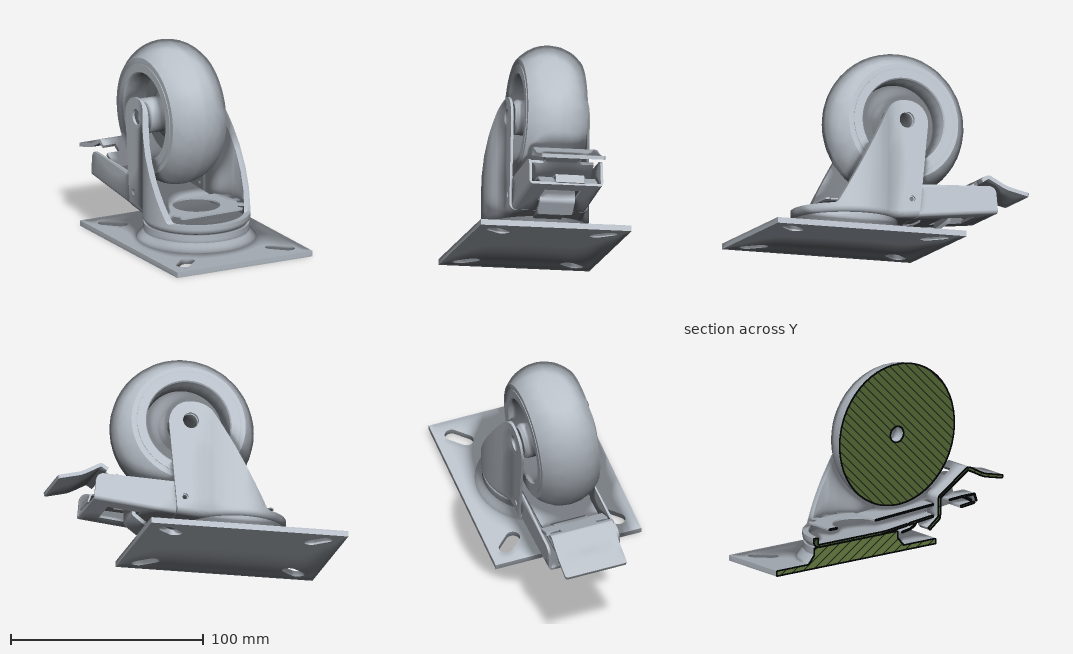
import cadquery as cq
import math


overall_length = 149.2
sheet = 1.3

plate_length = 105.0
plate_width = 80.0
plate_thickness = 3.0
slot_width = 7.5
slot_length = 15.8
slot_x = 39.4
slot_y = 27.9
slot_angle = 45.0
cone_radius = 31.3
collar_radius = 27.6
cone_top = 7.3
collar_top = 11.2

axle_x = -26.9
axle_z = 63.1
axle_hole_radius = 4.2
wheel_radius = 37.9
tread_edge_radius = 30.5
tread_crown_radius = 20.9
tread_crown_mid_angle = 25.0
parting_band_half = 0.6
tyre_half_width = 15.8
rim_half_width = 16.1
rim_outer_radius = 27.5
recess_mouth_radius = 23.0
recess_wall_radius = 22.4
recess_floor_radius = 20.9
recess_mouth_depth = 0.7
web_half_thickness = 3.7
hub_base_radius = 13.3
hub_root_height = 3.0
hub_radius = 9.3
hub_end_radius = 7.8
hub_half_width = 17.8

ring_radius = 28.0
ring_inner_radius = 24.8
ring_top = 16.3
leg_half_span = 20.9
leg_bend_radius = 19.0
leg_inner_bend_radius = 14.9
corner_radius = 3.3
leg_head_radius = 11.6
leg_head_z = 61.8
leg_head_flat = 1.5
leg_front_angle = 5.5
leg_rear_angle = 29.1
leg_foot_radius = 2.7
rise_start_x = -19.4
rise_angle = 6.2
rise_bend_radius = 59.7
yoke_front_x = -34.3

pivot_x = -29.8
pivot_z = 21.6
yoke_pivot_radius = 1.6
housing_pivot_radius = 1.2
housing_front_x = -78.0
housing_nose_x = -76.7
housing_rear_x = -26.1
housing_front_height = 31.6
wall_top_angle = 2.3
wall_bevel_front_x = -71.6
wall_bevel_depth = 0.7
wall_bevel_height = 2.1
wall_nose_radius = 4.0
wall_rear_radius = 2.2
housing_corner_radius = 2.0
floor_slot_front_x = -68.6
floor_slot_rear_x = -50.7
floor_slot_width = 19.1
lip_width = 14.9
lip_root_x = -39.5
lip_curve = [(-38.5, 12.2), (-35.4, 10.7), (-29.8, 9.8)]
lip_thickness = 0.9

pedal_thickness = 2.0
pedal_width = 33.7
pedal_front_x = plate_length / 2 - overall_length
pedal_lean = math.radians(12.7)
pedal_tip_z = 28.8
pedal_toe_x = -83.9
pedal_tip = (pedal_front_x + pedal_thickness / 2 * math.sin(pedal_lean), pedal_tip_z)
pedal_toe = (pedal_toe_x, pedal_tip_z + (pedal_toe_x - pedal_tip[0]) * math.tan(pedal_lean))
pedal_ridge = (-73.7, 37.0)
tongue_top = (-54.9, 24.6)
tongue_knee = (-54.6, 13.7)
tongue_end = (-47.9, 8.7)
tongue_width = 18.5
tongue_start_x = -57.0
pedal_toe_bend = 17.9
pedal_ridge_bend = 0.7
tongue_bend = 0.7
pedal_corner_radius = 1.3
notch_x = -68.0
notch_length = 5.0
notch_depth = 7.2

lock_thickness = 0.9
lock_disc_z = 19.7
lock_disc_radius = 24.6
lock_shoulder_radius = 22.1
lock_chord_x = 17.8
lock_hole_radius = 12.4
lock_turn = 1.3
lock_bend_x = -12.5
lock_front_x = -70.1
lock_front_z = 23.0
lock_width = 30.5
lock_tab_width = 15.2
lock_tab_x = -77.7
lock_tab_foot_x = -79.1
lock_tab_foot_z = 18.5
wing_foot_x = -75.6
wing_foot_z = 19.4
lock_slot_width = 19.1
lock_slot_front_x = -61.2
lock_slot_rear_x = -50.7
tooth_gap_angles = (55.5, 76.0, 96.5)
tooth_gap_width = 5.0
tooth_gap_depth = 3.0
shoulder_angle = 110.0

tall = 119.4



def side_prism(outline, width):
    """Extrude a closed XZ sketch across the part, centred on y = 0."""
    return outline.extrude(width / 2, both=True)


def strip(points, thickness, width, bends=()):
    """Bent sheet strip centred on an open XZ path, with an inner bend radius for each inner point."""
    headings = [math.atan2(b[1] - a[1], b[0] - a[0]) for a, b in zip(points, points[1:])]
    upper = []
    lower = []
    turns = []
    for i, (x, z) in enumerate(points):
        before = headings[max(i - 1, 0)]
        after = headings[min(i, len(headings) - 1)]
        normal = (before + after + math.pi) / 2
        reach = thickness / 2 / math.cos((after - before) / 2)
        upper.append((x + reach * math.cos(normal), z + reach * math.sin(normal)))
        lower.append((x - reach * math.cos(normal), z - reach * math.sin(normal)))
        turns.append(after - before)
    sheet_body = side_prism(cq.Workplane("XZ").polyline(upper + lower[::-1]).close(), width)
    for i, radius in enumerate(bends, start=1):
        inner, outer = (upper[i], lower[i]) if turns[i] > 0 else (lower[i], upper[i])
        sheet_body = round_cross_edge(sheet_body, inner, radius)
        sheet_body = round_cross_edge(sheet_body, outer, radius + thickness)
    return sheet_body


def round_cross_edge(body, point, radius):
    """Fillet the edge along Y that passes nearest to an XZ point."""
    nearest = cq.selectors.NearestToPointSelector((point[0], 0, point[1]))
    return body.edges("|Y").edges(nearest).fillet(radius)


def block(x_min, x_max, width, y_middle=0.0):
    """Block of full height between two X positions."""
    middle = (x_min + x_max) / 2
    return cq.Workplane("XY").box(x_max - x_min, width, 2 * tall).translate((middle, y_middle, 0))


def cross_hole(x, z, radius):
    """Cylinder along Y through the whole part."""
    return side_prism(cq.Workplane("XZ").center(x, z).circle(radius), tall)


def rise_z(x, lift=0.0):
    """Height of the rising floor's underside at x, moved up square to it by lift."""
    slope = math.radians(rise_angle)
    return collar_top + (rise_start_x - x) * math.tan(slope) + lift / math.cos(slope)




def make_base():
    plate = cq.Workplane("XY").rect(plate_length, plate_width).extrude(plate_thickness)
    for sx in (-1, 1):
        for sy in (-1, 1):
            slot = (
                cq.Workplane("XY")
                .slot2D(slot_length, slot_width, slot_angle * sx * sy)
                .extrude(plate_thickness)
                .translate((sx * slot_x, sy * slot_y, 0))
            )
            plate = plate.cut(slot)
    profile = [
        (0, 0),
        (cone_radius, 0),
        (cone_radius, plate_thickness),
        (collar_radius, cone_top),
        (collar_radius, collar_top),
        (0, collar_top),
    ]
    collar = cq.Workplane("XZ").polyline(profile).close().revolve(360, (0, 0, 0), (0, 1, 0))
    return plate.union(collar)




def make_wheel():
    """Half profile in (radius, width) turned about the axle, then mirrored."""
    crown_centre = wheel_radius - tread_crown_radius
    crown_mid_angle = math.radians(tread_crown_mid_angle)
    crown_mid = (
        crown_centre + tread_crown_radius * math.cos(crown_mid_angle),
        tread_crown_radius * math.sin(crown_mid_angle),
    )
    half = (
        cq.Workplane("XY")
        .moveTo(axle_hole_radius, 0)
        .lineTo(wheel_radius, 0)
        .lineTo(wheel_radius, parting_band_half)
        .threePointArc(crown_mid, (tread_edge_radius, tyre_half_width))
        .lineTo(rim_outer_radius, tyre_half_width)
        .lineTo(rim_outer_radius, rim_half_width)
        .lineTo(recess_mouth_radius, rim_half_width)
        .lineTo(recess_wall_radius, rim_half_width - recess_mouth_depth)
        .lineTo(recess_floor_radius, web_half_thickness)
        .lineTo(hub_base_radius, web_half_thickness)
        .lineTo(hub_radius, web_half_thickness + hub_root_height)
        .lineTo(hub_radius, rim_half_width)
        .lineTo(hub_end_radius, hub_half_width)
        .lineTo(axle_hole_radius, hub_half_width)
        .close()
        .revolve(360, (0, 0, 0), (0, 1, 0))
    )
    return half.union(half.mirror("XZ")).translate((axle_x, 0, axle_z))




def yoke_form(ring, side, bend, lift):
    """Solid bounded by a ring, two flat sides blended into it, and an underside raised by lift."""
    bend_y = side + bend
    bend_x = -math.sqrt((ring + bend) ** 2 - bend_y**2)
    tangent_x = bend_x * ring / (ring + bend)
    tangent_y = bend_y * ring / (ring + bend)
    half_turn = math.atan2(-bend_x, bend_y) / 2
    mid_x = bend_x + bend * math.sin(half_turn)
    mid_y = bend_y - bend * math.cos(half_turn)
    open_end_x = yoke_front_x - leg_head_radius
    plan = (
        cq.Workplane("XY")
        .moveTo(open_end_x, -side)
        .lineTo(bend_x, -side)
        .threePointArc((mid_x, -mid_y), (tangent_x, -tangent_y))
        .threePointArc((ring, 0), (tangent_x, tangent_y))
        .threePointArc((mid_x, mid_y), (bend_x, side))
        .lineTo(open_end_x, side)
        .close()
        .extrude(tall)
    )
    underside = (
        cq.Workplane("XZ")
        .moveTo(open_end_x, rise_z(open_end_x, lift))
        .lineTo(rise_start_x, collar_top + lift)
        .lineTo(tall, collar_top + lift)
        .lineTo(tall, tall)
        .lineTo(open_end_x, tall)
        .close()
    )
    kink = (rise_start_x, collar_top + lift)
    above = round_cross_edge(side_prism(underside, tall), kink, rise_bend_radius)
    return plan.intersect(above)


def yoke_outside():
    """Outer form with its lower edges rounded, except across the open end."""
    form = yoke_form(ring_radius, leg_half_span, leg_bend_radius, 0)
    low_zone = cq.selectors.BoxSelector((-tall, -tall, 0), (tall, tall, ring_top))
    return form.edges(low_zone).edges("not |Y").fillet(corner_radius)


def leg_outline():
    """Side outline of the yoke: leaning edges tangent to a round head, down to the ring."""
    front = math.radians(leg_front_angle)
    rear = math.radians(leg_rear_angle)
    front_start = (
        axle_x - leg_head_radius * math.cos(front),
        leg_head_z - leg_head_radius * math.sin(front),
    )
    rear_head_x = axle_x + leg_head_flat
    head_top = leg_head_z + leg_head_radius
    rear_end = (
        rear_head_x + leg_head_radius * math.cos(rear),
        leg_head_z + leg_head_radius * math.sin(rear),
    )
    front_middle = (
        axle_x - leg_head_radius * math.cos(math.pi / 4 - front / 2),
        leg_head_z + leg_head_radius * math.sin(math.pi / 4 - front / 2),
    )
    rear_middle = (
        rear_head_x + leg_head_radius * math.cos(math.pi / 4 + rear / 2),
        leg_head_z + leg_head_radius * math.sin(math.pi / 4 + rear / 2),
    )
    rear_foot_x = rear_end[0] + (rear_end[1] - ring_top) * math.tan(rear)
    outline = (
        cq.Workplane("XZ")
        .moveTo(front_start[0] + front_start[1] * math.tan(front), 0)
        .lineTo(*front_start)
        .threePointArc(front_middle, (axle_x, head_top))
        .lineTo(rear_head_x, head_top)
        .threePointArc(rear_middle, rear_end)
        .lineTo(rear_foot_x, ring_top)
        .lineTo(tall, ring_top)
        .lineTo(tall, 0)
        .close()
    )
    return round_cross_edge(side_prism(outline, tall), (rear_foot_x, ring_top), leg_foot_radius)


def make_yoke():
    inside = yoke_form(ring_inner_radius, leg_half_span - sheet, leg_inner_bend_radius, sheet)
    yoke = yoke_outside().cut(inside).intersect(leg_outline())
    yoke = yoke.cut(cross_hole(axle_x, axle_z, axle_hole_radius))
    return yoke.cut(cross_hole(pivot_x, pivot_z, yoke_pivot_radius))




def wall_top_z(x):
    """Height of the top edge of the housing walls."""
    return housing_front_height - (x - housing_nose_x) * math.tan(math.radians(wall_top_angle))


def wall_bevel(side):
    """Corner piece along the outer top edge of one wall, growing from nothing towards the rear."""
    outer_y = side * (leg_half_span - sheet)
    rear_z = wall_top_z(housing_rear_x)
    front = (wall_bevel_front_x, outer_y, wall_top_z(wall_bevel_front_x))
    corner = (housing_rear_x, outer_y, rear_z)
    inner = (housing_rear_x, outer_y - side * wall_bevel_depth, rear_z)
    lower = (housing_rear_x, outer_y, rear_z - wall_bevel_height)
    triangles = [
        (front, corner, inner),
        (front, inner, lower),
        (front, lower, corner),
        (corner, lower, inner),
    ]
    faces = []
    for triangle in triangles:
        outline = cq.Wire.makePolygon([cq.Vector(*point) for point in triangle], close=True)
        faces.append(cq.Face.makeFromWires(outline))
    return cq.Workplane("XY").add(cq.Solid.makeSolid(cq.Shell.makeShell(faces)))


def make_housing():
    rear_top = wall_top_z(housing_rear_x)
    half_span = leg_half_span - sheet
    body = side_prism(
        cq.Workplane("XZ")
        .moveTo(housing_front_x, rise_z(housing_front_x))
        .lineTo(housing_rear_x, rise_z(housing_rear_x))
        .lineTo(housing_rear_x, rear_top)
        .lineTo(housing_nose_x, housing_front_height)
        .close(),
        2 * half_span,
    )
    low_zone = cq.selectors.BoxSelector((-tall, -tall, 0), (tall, tall, rise_z(housing_front_x)))
    body = body.edges(low_zone).edges("not |Y").fillet(housing_corner_radius)
    body = round_cross_edge(body, (housing_nose_x, housing_front_height), wall_nose_radius)
    body = round_cross_edge(body, (housing_rear_x, rear_top), wall_rear_radius)

    channel = side_prism(
        cq.Workplane("XZ")
        .moveTo(-tall, rise_z(-tall, sheet))
        .lineTo(0, rise_z(0, sheet))
        .lineTo(0, tall)
        .lineTo(-tall, tall)
        .close(),
        2 * (half_span - sheet),
    )
    body = body.cut(channel)

    clearance = side_prism(
        cq.Workplane("XZ")
        .moveTo(yoke_front_x, 0)
        .lineTo(0, 0)
        .lineTo(0, rise_z(0, corner_radius))
        .lineTo(yoke_front_x, rise_z(yoke_front_x, corner_radius))
        .close(),
        tall,
    )
    body = body.cut(clearance)
    body = body.cut(block(floor_slot_front_x, floor_slot_rear_x, floor_slot_width))
    body = body.cut(wall_bevel(1)).cut(wall_bevel(-1))
    body = body.cut(cross_hole(pivot_x, pivot_z, housing_pivot_radius))

    lip_root = (lip_root_x, rise_z(lip_root_x, sheet / 2))
    return body.union(strip([lip_root] + lip_curve, lip_thickness, lip_width))




def make_pedal():
    path = [pedal_tip, pedal_toe, pedal_ridge, tongue_top, tongue_knee, tongue_end]
    bends = (pedal_toe_bend, pedal_ridge_bend, tongue_bend, tongue_bend)
    pedal = strip(path, pedal_thickness, pedal_width, bends)
    slope = (tongue_top[1] - pedal_ridge[1]) / (tongue_top[0] - pedal_ridge[0])
    notch_z = pedal_ridge[1] + (notch_x - pedal_ridge[0]) * slope
    notch_tilt = -math.degrees(math.atan(slope))
    spare = (pedal_width - tongue_width) / 2
    for side in (-1, 1):
        side_y = side * (pedal_width - spare) / 2
        pedal = pedal.cut(block(tongue_start_x, 0, spare, side_y))
        notch_y = side * (pedal_width - notch_depth) / 2
        notch = (
            cq.Workplane("XY")
            .box(notch_length, notch_depth, 2 * pedal_thickness)
            .rotate((0, 0, 0), (0, 1, 0), notch_tilt)
            .translate((notch_x, notch_y, notch_z))
        )
        pedal = pedal.cut(notch)
        for (x, z), width in ((pedal_tip, pedal_width), (tongue_end, tongue_width)):
            corner = cq.selectors.NearestToPointSelector((x, side * width / 2, z))
            pedal = pedal.edges(corner).fillet(pedal_corner_radius)
    return pedal




def make_lock_plate():
    disc = (
        cq.Workplane("XY")
        .circle(lock_disc_radius)
        .extrude(lock_thickness)
        .translate((0, 0, lock_disc_z - lock_thickness))
    )
    disc = disc.cut(block(lock_chord_x, tall, tall))
    disc = disc.cut(block(-tall, lock_bend_x, tall))
    for side in (-1, 1):
        for angle in tooth_gap_angles:
            gap = block(lock_disc_radius - tooth_gap_depth, tall, tooth_gap_width)
            disc = disc.cut(gap.rotate((0, 0, 0), (0, 0, 1), side * angle))
    shoulder_x = lock_disc_radius * math.cos(math.radians(shoulder_angle))
    shoulder = cq.Workplane("XY").circle(lock_shoulder_radius).extrude(tall)
    disc = disc.cut(block(-tall, shoulder_x, tall).cut(shoulder))

    mid = lock_thickness / 2
    sloping_path = [
        (lock_front_x, lock_front_z - mid),
        (lock_bend_x, lock_disc_z - mid),
        (0, lock_disc_z - mid),
    ]
    wing_path = [(wing_foot_x, wing_foot_z)] + sloping_path
    tab_path = [(lock_tab_foot_x, lock_tab_foot_z), (lock_tab_x, lock_front_z - mid)] + sloping_path
    wings = strip(wing_path, lock_thickness, lock_width)
    tab = strip(tab_path, lock_thickness, lock_tab_width)
    plate = disc.union(wings).union(tab)
    plate = plate.cut(cq.Workplane("XY").circle(lock_hole_radius).extrude(tall))
    plate = plate.rotate((0, 0, 0), (0, 0, 1), lock_turn)
    return plate.cut(block(lock_slot_front_x, lock_slot_rear_x, lock_slot_width))


base = make_base()
wheel = make_wheel()
yoke = make_yoke()
housing = make_housing()
pedal = make_pedal()
lock_plate = make_lock_plate()

bodies = [base, wheel, yoke, housing, pedal, lock_plate]
result = cq.Compound.makeCompound([body.solids().val() for body in bodies])